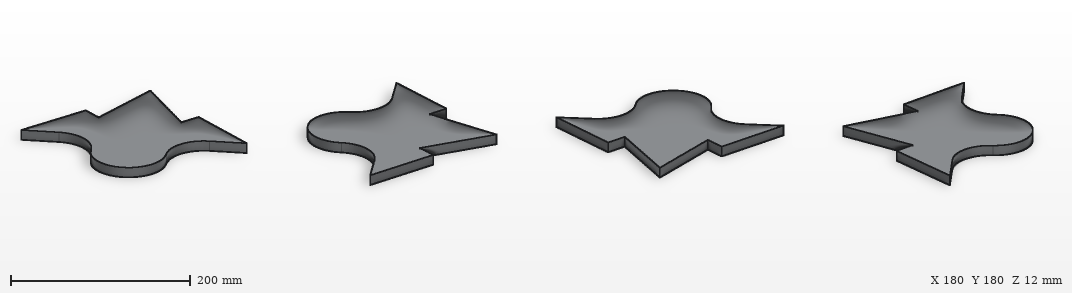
import cadquery as cq
import math

side = 180.0
thickness = 12.0
point_angle = 15.0

cell = side / 6
half_side = side / 2
notch_depth = half_side * math.tan(math.radians(point_angle))
arc_radius = cell * math.sqrt(2)
lobe_reach = arc_radius / math.sqrt(2)

lower_hollow = (2 * cell, 0)
lobe = (4 * cell, 2 * cell)
right_hollow = (side, 4 * cell)

lower_hollow_crest = (lower_hollow[0], lower_hollow[1] + arc_radius)
lobe_tip = (lobe[0] + lobe_reach, lobe[1] - lobe_reach)
right_hollow_crest = (right_hollow[0] - arc_radius, right_hollow[1])

result = (
    cq.Workplane("XY")
    .moveTo(0, 0)
    .lineTo(cell, cell)
    .threePointArc(lower_hollow_crest, (3 * cell, cell))
    .threePointArc(lobe_tip, (5 * cell, 3 * cell))
    .threePointArc(right_hollow_crest, (5 * cell, 5 * cell))
    .lineTo(side, side)
    .lineTo(half_side, side)
    .lineTo(half_side, side - notch_depth)
    .lineTo(0, side)
    .lineTo(notch_depth, half_side)
    .lineTo(0, half_side)
    .close()
    .extrude(thickness)
)